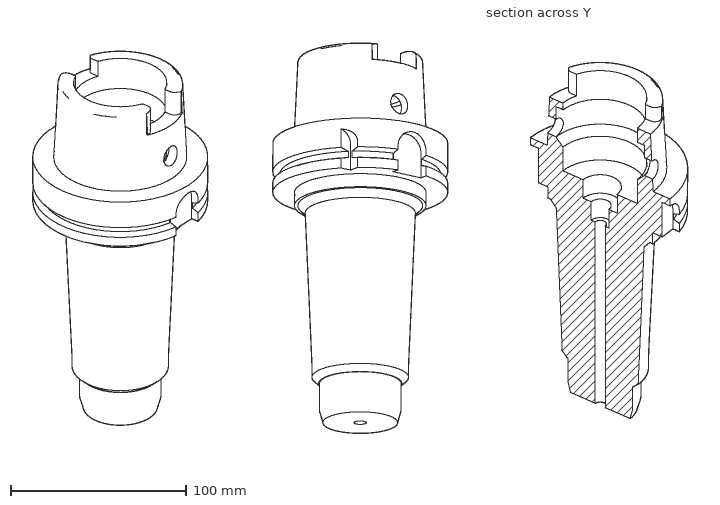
import cadquery as cq
import math

total_height = 215.8
flange_diameter = 100.0
flange_radius = flange_diameter / 2

shank_length = 49.5
shank_base_radius = 38.0
shank_top_radius = 35.5
shank_edge_radius = 1.5
flange_top = total_height - shank_length

flange_thickness = 29.3
groove_radius = 46.0
groove_centre_drop = 20.3
groove_floor_width = 3.7
groove_mouth_width = 6.5
flange_bottom = flange_top - flange_thickness
groove_centre = flange_top - groove_centre_drop

collar_radius = 37.5
collar_height = 7.8
collar_cone_radius = 35.5
body_top_radius = 31.5
body_bottom_radius = 27.6
body_top = 124.7
body_straight_top = 34.0
body_straight_bottom = 27.0
nose_cone_radius = 23.7
nose_top = 23.3
nose_radius = 23.3
nose_tip_height = 7.1
nose_tip_radius = 21.4
collar_bottom = flange_bottom - collar_height

mouth_radius = 26.5
mouth_depth = 20.0
chamber_radius = 31.5
chamber_depth = 41.0
sump_radius = 26.5
sump_depth = 62.5
coolant_bore_radius = 12.0
coolant_bore_depth = 13.0
pilot_radius = 6.3
pilot_depth = 13.0
through_hole_radius = 3.5
chamber_bottom = total_height - chamber_depth
sump_cone_height = chamber_radius - sump_radius
sump_floor = total_height - sump_depth
coolant_bore_floor = sump_floor - coolant_bore_depth
pilot_floor = coolant_bore_floor - pilot_depth

drive_slot_width = 20.3
drive_slot_depth_minus_x = 10.0
drive_slot_depth_plus_x = 15.0
drive_slot_corner_radius = 3.9

cross_hole_diameter = 12.0
cross_hole_drop = 34.7

keyway_width = 20.0
keyway_top_drop = 5.2
keyway_floor_x = 44.2
notch_width = 16.0
notch_top_drop = 6.0
notch_wall_y = 31.3
notch_floor_x = 32.2


def make_outer_body():
    groove_floor_half = groove_floor_width / 2
    groove_mouth_half = groove_mouth_width / 2
    outline = [
        (0, 0),
        (nose_tip_radius, 0),
        (nose_radius, nose_tip_height),
        (nose_radius, nose_top),
        (nose_cone_radius, nose_top),
        (body_bottom_radius, body_straight_bottom),
        (body_bottom_radius, body_straight_top),
        (body_top_radius, body_top),
        (collar_cone_radius, collar_bottom),
        (collar_radius, collar_bottom),
        (collar_radius, flange_bottom),
        (flange_radius, flange_bottom),
        (flange_radius, groove_centre - groove_mouth_half),
        (groove_radius, groove_centre - groove_floor_half),
        (groove_radius, groove_centre + groove_floor_half),
        (flange_radius, groove_centre + groove_mouth_half),
        (flange_radius, flange_top),
        (shank_base_radius, flange_top),
        (shank_top_radius, total_height),
        (0, total_height),
    ]
    body = cq.Workplane("XZ").polyline(outline).close().revolve(360, (0, 0), (0, 1))
    return body.faces(">Z").edges().fillet(shank_edge_radius)


def make_axial_bore():
    mouth_bottom = total_height - mouth_depth
    outline = [
        (0, 0),
        (through_hole_radius, 0),
        (through_hole_radius, pilot_floor),
        (pilot_radius, pilot_floor),
        (pilot_radius, coolant_bore_floor),
        (coolant_bore_radius, coolant_bore_floor),
        (coolant_bore_radius, sump_floor),
        (sump_radius, sump_floor),
        (sump_radius, chamber_bottom - sump_cone_height),
        (chamber_radius, chamber_bottom),
        (chamber_radius, mouth_bottom),
        (mouth_radius, mouth_bottom),
        (mouth_radius, total_height),
        (0, total_height),
    ]
    return cq.Workplane("XZ").polyline(outline).close().revolve(360, (0, 0), (0, 1))


def make_drive_slot(side, depth):
    """Slot whose walls flare out along arcs that run tangent into the rim."""
    half_width = drive_slot_width / 2
    corner_y = half_width + drive_slot_corner_radius
    corner_reach = shank_top_radius - drive_slot_corner_radius
    corner_x = math.sqrt(corner_reach**2 - corner_y**2)
    rim_scale = shank_top_radius / corner_reach
    rim_x = corner_x * rim_scale
    rim_y = corner_y * rim_scale
    mid_angle = (math.atan2(corner_y, corner_x) - math.pi / 2) / 2
    mid_x = corner_x + drive_slot_corner_radius * math.cos(mid_angle)
    mid_y = corner_y + drive_slot_corner_radius * math.sin(mid_angle)
    return (
        cq.Workplane("XY", origin=(0, 0, total_height - depth))
        .moveTo(0, -half_width)
        .lineTo(side * corner_x, -half_width)
        .threePointArc((side * mid_x, -mid_y), (side * rim_x, -rim_y))
        .lineTo(side * flange_radius, -rim_y)
        .lineTo(side * flange_radius, rim_y)
        .lineTo(side * rim_x, rim_y)
        .threePointArc((side * mid_x, mid_y), (side * corner_x, half_width))
        .lineTo(0, half_width)
        .close()
        .extrude(depth)
    )


def make_round_topped_slot(side, centre_y, width, top_drop, floor_x):
    """Slot cut along X from outside the flange, open at the flange underside."""
    radius = width / 2
    top = flange_top - top_drop
    spring = top - radius
    return (
        cq.Workplane("YZ", origin=(side * floor_x, 0, 0))
        .moveTo(centre_y - radius, flange_bottom)
        .lineTo(centre_y - radius, spring)
        .threePointArc((centre_y, top), (centre_y + radius, spring))
        .lineTo(centre_y + radius, flange_bottom)
        .close()
        .extrude(side * flange_radius)
    )


result = make_outer_body().cut(make_axial_bore())

result = result.cut(make_drive_slot(-1, drive_slot_depth_minus_x))
result = result.cut(make_drive_slot(1, drive_slot_depth_plus_x))

cross_hole = (
    cq.Workplane("YZ", origin=(-flange_radius, 0, total_height - cross_hole_drop))
    .circle(cross_hole_diameter / 2)
    .extrude(flange_diameter)
)
result = result.cut(cross_hole)

for side in (-1, 1):
    result = result.cut(make_round_topped_slot(side, 0, keyway_width, keyway_top_drop, keyway_floor_x))

notch_centre_y = notch_wall_y + notch_width / 2
result = result.cut(
    make_round_topped_slot(-1, notch_centre_y, notch_width, notch_top_drop, notch_floor_x)
)